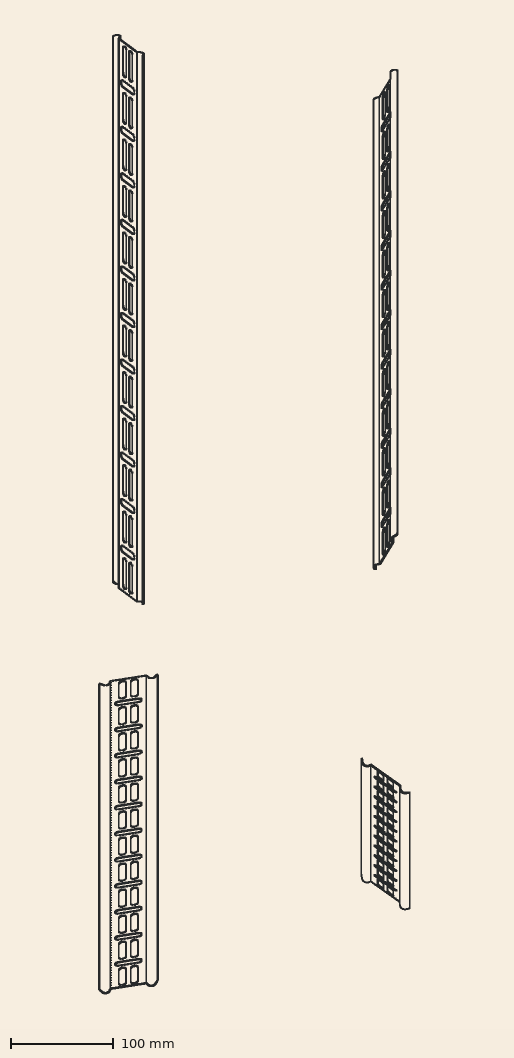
import cadquery as cq
import math

length = 590.0
width = 58.5
depth = 5.0
thickness = 1.05
corner_radius = 4.0

web_flank_angle = math.radians(57)
lip_angle = math.radians(44)
ridge_inner_radius = 4.0
ridge_outer_radius = ridge_inner_radius + thickness

slot_width = 7.0
upright_length = 33.0
upright_offset = 6.0
cross_length = 26.5
upright_count = 12
end_to_first_upright = 20.0
pitch = (length - 2 * end_to_first_upright) / (upright_count - 1)

ridge_center_y = depth - ridge_outer_radius


def arc_end(radius, angle):
    """End of a ridge arc turned by angle from its top: X distance from the ridge centre, and Y."""
    return radius * math.sin(angle), ridge_center_y + radius * math.cos(angle)


def flank_reach(radius, angle, y):
    """X distance from the ridge centre to height y on the straight flank that follows an arc."""
    reach, end_y = arc_end(radius, angle)
    return reach + (end_y - y) / math.tan(angle)


lip_inner_reach = flank_reach(ridge_inner_radius, lip_angle, 0)
lip_outer_reach = lip_inner_reach + thickness * math.sin(lip_angle)
ridge_center_x = width / 2 - lip_outer_reach


def ridge_face(radius, web_y):
    """Points of one ridge face going outward: foot on the web, arc start, arc top and arc end."""
    foot_reach = flank_reach(radius, web_flank_angle, web_y)
    start_reach, start_y = arc_end(radius, web_flank_angle)
    end_reach, end_y = arc_end(radius, lip_angle)
    return (
        (ridge_center_x - foot_reach, web_y),
        (ridge_center_x - start_reach, start_y),
        (ridge_center_x, ridge_center_y + radius),
        (ridge_center_x + end_reach, end_y),
    )


def half_sheet():
    """Half of the folded sheet, from the middle plane to the square-ended lip on +X."""
    outer_foot, outer_start, outer_top, outer_end = ridge_face(ridge_outer_radius, thickness)
    inner_foot, inner_start, inner_top, inner_end = ridge_face(ridge_inner_radius, 0)
    profile = (
        cq.Workplane("XY")
        .moveTo(0, thickness)
        .lineTo(*outer_foot)
        .lineTo(*outer_start)
        .threePointArc(outer_top, outer_end)
        .lineTo(width / 2, thickness * math.cos(lip_angle))
        .lineTo(ridge_center_x + lip_inner_reach, 0)
        .lineTo(*inner_end)
        .threePointArc(inner_top, inner_start)
        .lineTo(*inner_foot)
        .lineTo(0, 0)
        .close()
    )
    return profile.extrude(length)


def rounded_blank():
    """Block with the rounded corners of the sheet as seen along Y."""
    return (
        cq.Workplane("XY")
        .box(width, depth, length, centered=(True, False, False))
        .edges("|Y")
        .fillet(corner_radius)
    )


def slot_cutters(centers, slot_length, angle):
    """Round-ended slots through the sheet at the given (x, z) centres."""
    return (
        cq.Workplane("XZ", origin=(0, depth, 0))
        .pushPoints(centers)
        .slot2D(slot_length, slot_width, angle)
        .extrude(depth)
    )


right_half = half_sheet()
sheet = right_half.union(right_half.mirror("YZ")).intersect(rounded_blank())

upright_heights = [end_to_first_upright + i * pitch for i in range(upright_count)]
upright_centers = [(side * upright_offset, z) for z in upright_heights for side in (-1, 1)]
cross_centers = [(0, z + pitch / 2) for z in upright_heights[:-1]]

result = sheet.cut(slot_cutters(upright_centers, upright_length, 90))
result = result.cut(slot_cutters(cross_centers, cross_length, 0))